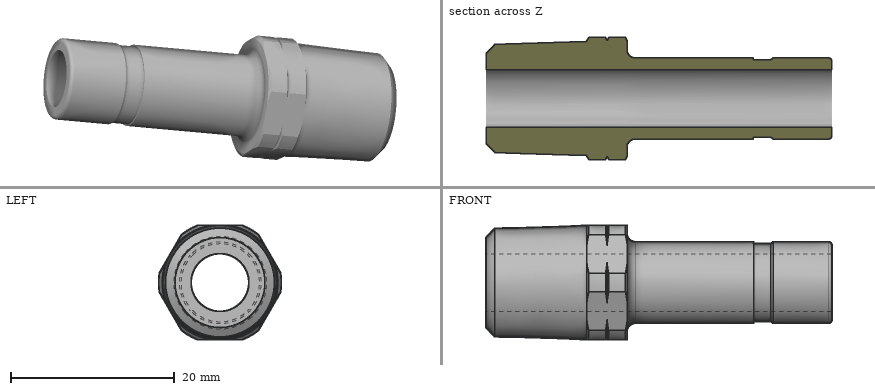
import cadquery as cq
import math

length = 42.3
left_end = -length / 2
right_end = length / 2
nose_length = 1.1
hex_start = left_end + 12.3
hex_length = 5.0
hex_end = hex_start + hex_length
hex_groove_center = hex_start + hex_length / 2

hex_across_flats = 14.0
hex_corner_diameter = 15.0
hex_corner_radius = hex_corner_diameter / 2
hex_edge_radius = 7.05
hex_edge_width = 0.25
hex_groove_root_radius = 7.1
hex_groove_width = 0.4

nose_radius = 5.5
taper_end_radius = hex_across_flats / 2
taper_slope = 1 / 32

stem_radius = 5.0
fillet_radius = 1.0
fillet_height = 0.68
stem_groove_start = left_end + 32.7
stem_groove_length = 2.1
stem_groove_radius = 4.8
stem_groove_run_out = 0.3
stem_end_rounding = 0.45

bore_radius = 3.5


def revolve_about_x(outline):
    return outline.close().revolve(360, (0, 0, 0), (1, 0, 0))


def make_thread():
    nose_end = left_end + nose_length
    taper_start_radius = taper_end_radius - (hex_start - nose_end) * taper_slope
    return revolve_about_x(
        cq.Workplane("XY")
        .moveTo(left_end, 0)
        .lineTo(left_end, nose_radius)
        .lineTo(nose_end, taper_start_radius)
        .lineTo(hex_start, taper_end_radius)
        .lineTo(hex_start, 0)
    )


def make_hex():
    """Hexagon with turned corners, bevelled ends and a V groove around its middle."""
    across_corners = hex_across_flats / math.cos(math.pi / 6)
    prism = cq.Workplane("YZ", origin=(hex_start, 0, 0)).polygon(6, across_corners).extrude(hex_length)
    turned = revolve_about_x(
        cq.Workplane("XY")
        .moveTo(hex_start, 0)
        .lineTo(hex_start, hex_edge_radius)
        .lineTo(hex_start + hex_edge_width, hex_corner_radius)
        .lineTo(hex_groove_center - hex_groove_width / 2, hex_corner_radius)
        .lineTo(hex_groove_center, hex_groove_root_radius)
        .lineTo(hex_groove_center + hex_groove_width / 2, hex_corner_radius)
        .lineTo(hex_end - hex_edge_width, hex_corner_radius)
        .lineTo(hex_end, hex_edge_radius)
        .lineTo(hex_end, 0)
    )
    return prism.intersect(turned)


def make_stem():
    """Tube stem with a concave root, a retaining groove and a rounded tip."""
    root_angle = math.acos(1 - fillet_height / fillet_radius)
    root_length = fillet_radius * math.sin(root_angle)
    root_mid_x = hex_end + root_length - fillet_radius * math.sin(root_angle / 2)
    root_mid_radius = stem_radius + fillet_radius * (1 - math.cos(root_angle / 2))
    groove_end = stem_groove_start + stem_groove_length
    stem = revolve_about_x(
        cq.Workplane("XY")
        .moveTo(hex_end, 0)
        .lineTo(hex_end, stem_radius + fillet_height)
        .threePointArc((root_mid_x, root_mid_radius), (hex_end + root_length, stem_radius))
        .lineTo(stem_groove_start, stem_radius)
        .lineTo(stem_groove_start, stem_groove_radius)
        .lineTo(groove_end, stem_groove_radius)
        .lineTo(groove_end + stem_groove_run_out, stem_radius)
        .lineTo(right_end, stem_radius)
        .lineTo(right_end, 0)
    )
    return stem.faces(">X").edges().fillet(stem_end_rounding)


bore = cq.Workplane("YZ", origin=(left_end, 0, 0)).circle(bore_radius).extrude(length)

result = make_thread().union(make_hex()).union(make_stem()).cut(bore)